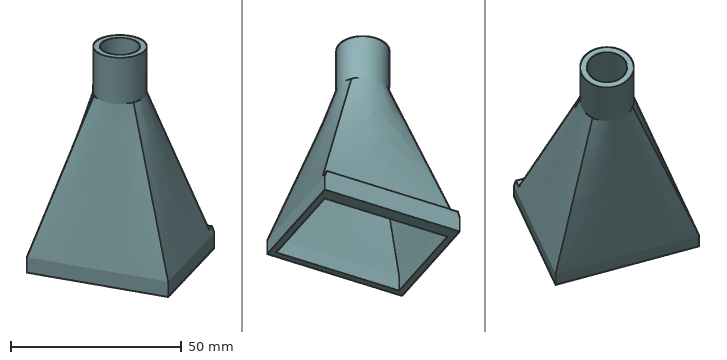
import cadquery as cq
import math

wall = 2.0
base_width = 44.78
funnel_depth = 34.6
ledge_depth = 2.0
base_height = 5.0
funnel_height = 50.0
spout_height = 15.0
spout_diameter = 15.8
ledge_rise = 2.0

lean_about_x = -0.5
turn_about_z = -0.05

base_depth = funnel_depth + ledge_depth
bore_diameter = spout_diameter - 2 * wall
spout_base_z = base_height + funnel_height


def split_circle(diameter, width, depth, z):
    """Circle in four arcs that meet on the diagonals of a width x depth rectangle."""
    radius = diameter / 2
    diagonal = math.hypot(width, depth)
    x = radius * width / diagonal
    y = radius * depth / diagonal
    return (
        cq.Workplane("XY", origin=(0, 0, z))
        .moveTo(-x, -y)
        .threePointArc((0, -radius), (x, -y))
        .threePointArc((radius, 0), (x, y))
        .threePointArc((0, radius), (-x, y))
        .threePointArc((-radius, 0), (-x, -y))
        .close()
        .wires()
        .val()
    )


def rectangle(width, depth, z):
    """Rectangle drawn from the same corner and in the same sense as the split circle."""
    return (
        cq.Workplane("XY", origin=(0, 0, z))
        .polyline([
            (-width / 2, -depth / 2),
            (width / 2, -depth / 2),
            (width / 2, depth / 2),
            (-width / 2, depth / 2),
        ])
        .close()
        .wires()
        .val()
    )


def transition(width, depth, diameter):
    """Straight-ruled funnel from a rectangle on the base to a circle under the spout."""
    lower = rectangle(width, depth, base_height)
    upper = split_circle(diameter, width, depth, spout_base_z)
    return cq.Workplane(cq.Solid.makeLoft([lower, upper], True))


def make_base():
    return (
        cq.Workplane("XY")
        .center(0, ledge_depth / 2)
        .rect(base_width, base_depth)
        .extrude(base_height)
    )


def make_ledge():
    """Rear strip whose ends lean inward with the funnel's side faces."""
    spout_corner_x = spout_diameter / 2 * base_width / math.hypot(base_width, funnel_depth)
    half_width = base_width / 2
    inset = (half_width - spout_corner_x) * ledge_rise / funnel_height
    rear_y = funnel_depth / 2 + ledge_depth
    ledge_length = ledge_depth + wall / 2
    return (
        cq.Workplane("XZ", origin=(0, rear_y, 0))
        .polyline([
            (-half_width, base_height),
            (half_width, base_height),
            (half_width - inset, base_height + ledge_rise),
            (-half_width + inset, base_height + ledge_rise),
        ])
        .close()
        .extrude(ledge_length)
    )


def make_spout():
    return (
        cq.Workplane("XY", origin=(0, 0, spout_base_z))
        .circle(spout_diameter / 2)
        .extrude(spout_height)
    )


def make_passage():
    """Open flow path: rectangular mouth, tapering throat and round bore."""
    mouth_width = base_width - 2 * wall
    mouth_depth = funnel_depth - 2 * wall
    mouth = cq.Workplane("XY").rect(mouth_width, mouth_depth).extrude(base_height)
    throat = transition(mouth_width, mouth_depth, bore_diameter)
    bore = (
        cq.Workplane("XY", origin=(0, 0, spout_base_z))
        .circle(bore_diameter / 2)
        .extrude(spout_height)
    )
    return mouth.union(throat).union(bore)


upright = (
    make_base()
    .union(transition(base_width, funnel_depth, spout_diameter))
    .union(make_ledge())
    .union(make_spout())
    .cut(make_passage())
)

result = (
    upright
    .rotate((0, 0, 0), (1, 0, 0), lean_about_x)
    .rotate((0, 0, 0), (0, 0, 1), turn_about_z)
)